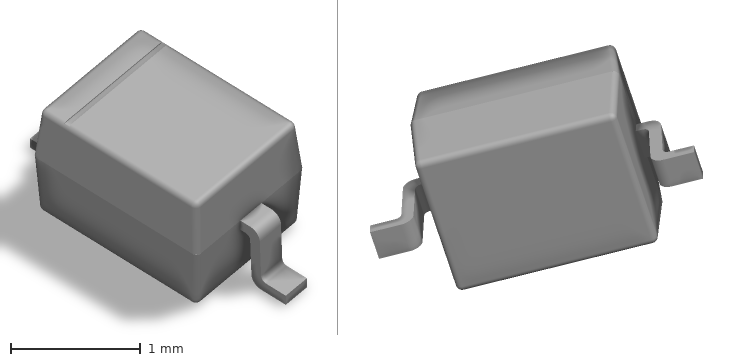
import cadquery as cq
import math

body_length = 1.675
body_width = 1.274
body_bottom_z = 0.02
parting_z = 0.62
body_top_z = 1.12
upper_draft = 5.0
lower_draft = 3.0
body_edge_radius = 0.05

groove_x = -0.535
groove_width = 0.05
groove_depth = 0.01

lead_span = 2.6
lead_width = 0.25
lead_thickness = 0.1
lead_top_z = parting_z
leg_tilt = 2.0
shoulder_x = 1.0325
outer_bend_radius = 0.1
inner_bend_radius = 0.05
lead_embed = 0.2


def body_half(height, draft):
    """Tapered half growing away from the parting plane; negative height grows down."""
    return (
        cq.Workplane("XY")
        .workplane(offset=parting_z)
        .rect(body_length, body_width)
        .extrude(height, taper=draft)
    )


def make_body():
    upper = body_half(body_top_z - parting_z, upper_draft)
    lower = body_half(body_bottom_z - parting_z, lower_draft)
    parting_edges = cq.selectors.BoxSelector(
        (-body_length, -body_width, parting_z - body_edge_radius),
        (body_length, body_width, parting_z + body_edge_radius),
    )
    return upper.union(lower).edges(cq.selectors.InverseSelector(parting_edges)).fillet(body_edge_radius)


def make_groove():
    return cq.Workplane("XY").box(groove_width, body_width, 2 * groove_depth).translate(
        (groove_x, 0, body_top_z)
    )


def make_right_lead():
    """Lead on the +X side: a shoulder, a slightly tilted leg and a flat foot."""
    slope = math.tan(math.radians(leg_tilt))
    leg_thickness_x = lead_thickness / math.cos(math.radians(leg_tilt))
    shoulder_bottom_z = lead_top_z - lead_thickness
    root_x = body_length / 2 - lead_embed
    tip_x = lead_span / 2

    def outer_x(z):
        return shoulder_x + (lead_top_z - z) * slope

    def inner_x(z):
        return outer_x(z) - leg_thickness_x

    outer_bends = [(outer_x(lead_top_z), lead_top_z), (inner_x(0), 0)]
    inner_bends = [
        (outer_x(lead_thickness), lead_thickness),
        (inner_x(shoulder_bottom_z), shoulder_bottom_z),
    ]
    outline = [
        (root_x, lead_top_z),
        outer_bends[0],
        inner_bends[0],
        (tip_x, lead_thickness),
        (tip_x, 0),
        outer_bends[1],
        inner_bends[1],
        (root_x, shoulder_bottom_z),
    ]
    lead = cq.Workplane("XZ").polyline(outline).close().extrude(lead_width / 2, both=True)
    for bends, radius in ((outer_bends, outer_bend_radius), (inner_bends, inner_bend_radius)):
        for x, z in bends:
            lead = lead.edges(cq.selectors.NearestToPointSelector((x, 0, z))).fillet(radius)
    return lead


right_lead = make_right_lead()
left_lead = right_lead.mirror("YZ")
result = make_body().cut(make_groove()).union(right_lead).union(left_lead)